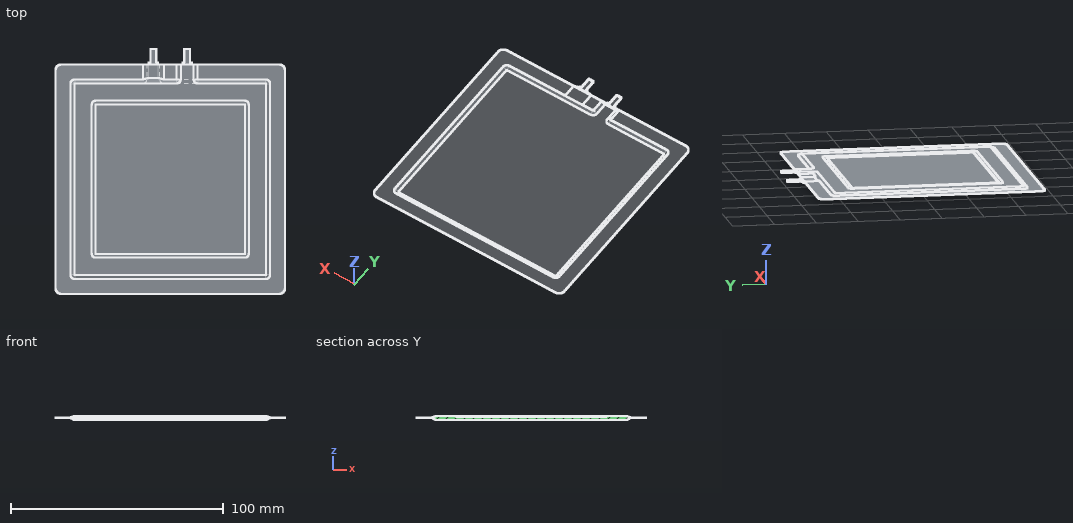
import cadquery as cq
import math

FLANGE_SIDE = 108.0
FLANGE_THICK = 0.2
FLANGE_CORNER_RADIUS = 3.0

CUP_SIDE = 93.9
CUP_WALL_RUN = 2.0
UPPER_CUP_HEIGHT = 0.7
LOWER_CUP_DEPTH = 1.1
SMALLEST_RADIUS = 0.1

TAB_OFFSET = 8.0
NECK_WIDTH = 9.9

DIP_DEPTH = 0.2

WINDOW_SIDE = 70.1
WINDOW_DEPTH = 0.5
FRAME_WIDTH = 1.8
FRAME_THICK = 0.06

OVERALL_LENGTH = 115.3
TAB_WIDTH = 2.8
TAB_THICK = 0.52
FILM_WIDTH = 4.5
FILM_PROTRUSION = 0.9

FLANGE_EDGE = FLANGE_SIDE / 2
CUP_EDGE = CUP_SIDE / 2
TAB_PROTRUSION = OVERALL_LENGTH - FLANGE_SIDE
CUP_TOP = FLANGE_THICK + UPPER_CUP_HEIGHT
DIP_FLOOR = FLANGE_THICK - DIP_DEPTH


def box(width, y_start, y_end, z_start, z_end, x_centre=0.0):
    """Axis-aligned block, centred on x_centre."""
    block = cq.Workplane("XY").box(width, y_end - y_start, z_end - z_start, centered=(True, False, False))
    return block.translate((x_centre, y_start, z_start))


def make_flange():
    flange = cq.Workplane("XY").rect(FLANGE_SIDE, FLANGE_SIDE).extrude(FLANGE_THICK)
    return flange.edges("|Z").fillet(FLANGE_CORNER_RADIUS)


def round_corner(outline, x, y, radius):
    """Round the one corner of a sketch that lies at (x, y)."""
    reach = SMALLEST_RADIUS
    corner = cq.selectors.BoxSelector((x - reach, y - reach, -reach), (x + reach, y + reach, reach))
    return outline.reset().vertices(corner).fillet(radius)


def make_cup(height, neck_x):
    """Sloping-walled cup standing on Z = 0, with its neck cut off at the flange edge."""
    neck_end = FLANGE_EDGE + NECK_WIDTH
    outline = (
        cq.Sketch()
        .rect(CUP_SIDE, CUP_SIDE)
        .push([(neck_x, neck_end / 2)])
        .rect(NECK_WIDTH, neck_end)
        .clean()
    )
    for side in (-1, 1):
        outline = round_corner(outline, neck_x + side * NECK_WIDTH / 2, CUP_EDGE, SMALLEST_RADIUS)
        for y in (-CUP_EDGE, CUP_EDGE):
            outline = round_corner(outline, side * CUP_EDGE, y, CUP_WALL_RUN + SMALLEST_RADIUS)
    wall_angle = math.degrees(math.atan2(CUP_WALL_RUN, height))
    cup = cq.Workplane("XY").placeSketch(outline.reset()).extrude(height, taper=wall_angle)
    return cup.intersect(box(FLANGE_SIDE, -FLANGE_EDGE, FLANGE_EDGE, 0, height))


def make_dip():
    """Shallow channel above the lower neck; its inner end carries on the slope of the cup wall."""
    section = [
        (-NECK_WIDTH / 2, FLANGE_THICK),
        (NECK_WIDTH / 2, FLANGE_THICK),
        (FILM_WIDTH / 2, DIP_FLOOR),
        (-FILM_WIDTH / 2, DIP_FLOOR),
    ]
    length = FLANGE_EDGE - CUP_EDGE
    channel = cq.Workplane("XZ").polyline(section).close().extrude(length)
    channel = channel.translate((-TAB_OFFSET, FLANGE_EDGE, 0))

    end_run = DIP_DEPTH * CUP_WALL_RUN / UPPER_CUP_HEIGHT
    side_outline = [
        (CUP_EDGE, FLANGE_THICK),
        (CUP_EDGE + end_run, DIP_FLOOR),
        (FLANGE_EDGE, DIP_FLOOR),
        (FLANGE_EDGE, FLANGE_THICK),
    ]
    sloped_end = cq.Workplane("YZ").polyline(side_outline).close().extrude(CUP_SIDE, both=True)
    return channel.intersect(sloped_end)


def make_tab(x_centre, underside):
    """Tab and its film strip, both starting inside the cup and passing out of the flange edge."""
    y_start = CUP_EDGE - CUP_WALL_RUN
    top = underside + TAB_THICK
    film = box(FILM_WIDTH, y_start, FLANGE_EDGE + FILM_PROTRUSION, underside, top, x_centre)
    tab = box(TAB_WIDTH, y_start, FLANGE_EDGE + TAB_PROTRUSION, underside, top, x_centre)
    return film.union(tab)


def make_frame():
    frame_side = WINDOW_SIDE + 2 * FRAME_WIDTH
    frame = cq.Workplane("XY", origin=(0, 0, CUP_TOP)).rect(frame_side, frame_side).extrude(FRAME_THICK)
    return frame.edges("|Z").fillet(FRAME_WIDTH)


def make_window():
    window = cq.Workplane("XY", origin=(0, 0, CUP_TOP - WINDOW_DEPTH)).rect(WINDOW_SIDE, WINDOW_SIDE)
    return window.extrude(WINDOW_DEPTH + FRAME_THICK)


upper_cup = make_cup(UPPER_CUP_HEIGHT, TAB_OFFSET).translate((0, 0, FLANGE_THICK))
lower_cup = make_cup(LOWER_CUP_DEPTH, -TAB_OFFSET).mirror("XY")

result = (
    make_flange()
    .cut(make_dip())
    .union(upper_cup)
    .union(lower_cup)
    .union(make_frame())
    .cut(make_window())
    .union(make_tab(TAB_OFFSET, FLANGE_THICK))
    .union(make_tab(-TAB_OFFSET, -DIP_DEPTH - TAB_THICK))
)